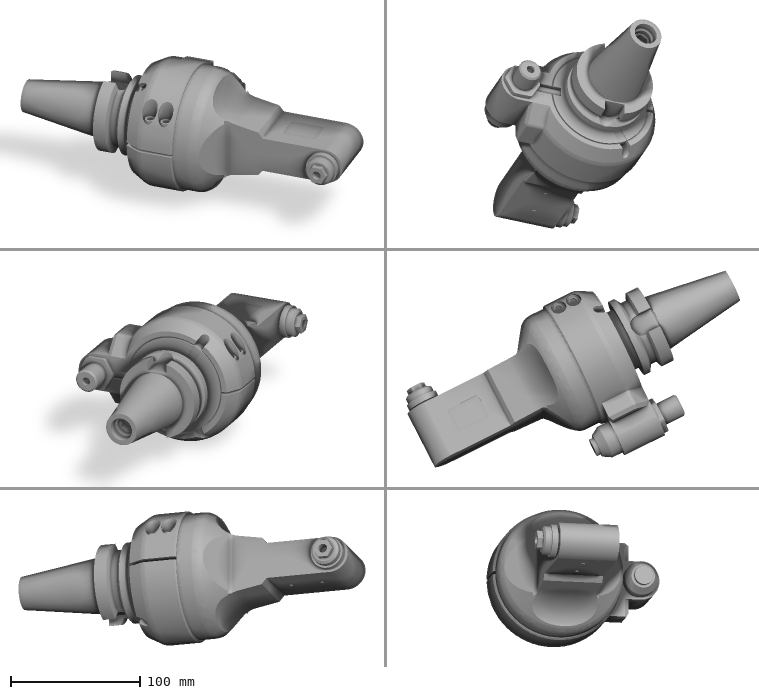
import cadquery as cq
import math


taper_length = 65.3
taper_small_radius = 13.0
taper_slope = 7 / 48
shank_neck_radius = 21.3
flange_start = 67.0
flange_end = 92.0
flange_radius = 31.5
groove_radius = 26.5
groove_start = 77.0
groove_floor_start = 79.0
groove_floor_end = 84.0
groove_end = 87.2
rear_neck_radius = 24.5
key_slot_width = 16.2
key_slot_floor = 22.5
key_slot_end = 87.7
drawbar_bore_diameter = 18.0
drawbar_bore_depth = 6.7
drawbar_step_diameter = 14.0
drawbar_step_depth = 10.8
drawbar_hex_flats = 10.0
drawbar_hex_depth = 16.2

collar_start = 99.5
collar_end = 139.2
collar_radius = 51.0
collar_front_radius = 44.3
collar_cone_end = 112.0
collar_blend_radius = 8.0
collar_rear_chamfer = 1.0
bore_radius = 38.9
bore_chamfer = 1.3
slit_width = 2.5
groove_diameter = 7.5
groove_axis_setback = 4.9
groove_outer_radius = 49.5
groove_angles = (60, 300)
key_slot_inner_radius = 27.0
key_slot_depth = 0.5
locking_rod_start = 32.0

clamp_hole_xs = (117.5, 130.3)
clamp_hole_y = -40.2
clamp_hole_diameter = 12.0
clamp_hole_floor = 20.8
clamp_head_diameter = 8.0
clamp_head_height = 3.0
clamp_socket_flats = 5.0
clamp_socket_depth = 2.2

housing_radius = 49.0
housing_blend_radius = 11.5
housing_cone_corner = 155.7
housing_cone_slope = 0.84

arm_half_width = 23.2
arm_flare_corner = 175.0
arm_flare_slope = 1.46
arm_flare_fillet = 3.8
arm_root_half_width = 27.0
arm_core_start = 173.2
arm_end = 269.8
arm_half_height = 14.25
arm_root_x = 181.3
arm_root_half_height = 22.25
arm_shoulder_x = 200.2
arm_shoulder_half_height = 19.0
arm_flat_start = 204.0
arm_flat_end = 256.2
arm_round_start = 258.0
arm_round_half_height = 13.98
throat_start = (160.5, 44.0)
throat_middle = (167.8, 29.5)
panel_length = 27.0
panel_width = 19.7
panel_corner_radius = 2.0
panel_depth = 0.3
panel_x = 229.0
button_diameter = 3.0
button_height = 0.5
button_xs = (217.0, 242.0)

bracket_end = 134.5
bracket_half_height = 15.0
bracket_tip = 81.2
bracket_flat_end = 67.7
block_half_height = 29.1
block_top = 57.2
block_base = 27.0
block_ramp_end = 111.7
block_edge_rise = 2.0
block_edge_run = 3.2

pin_y = 65.3
pin_diameter = 18.0
pin_start = 78.3
pin_end_chamfer = 1.3
pin_socket_diameter = 6.5
pin_socket_depth = 4.0
nut_flats = 25.5
nut_start = 95.5
nut_chamfer_radius = 14.3
cap_radius = 13.2
cap_cone_start = 143.5
cap_cone_end = 150.3
cap_cone_end_radius = 9.2
cap_nose_radius = 7.15
cap_nose_end = 153.8

output_x = 254.7
output_neck_radius = 10.0
output_flange_start = 24.5
output_flange_radius = 12.7
output_flange_end = 29.1
output_body_radius = 11.0
output_body_end = 34.0
output_cone_end = 35.3
output_cone_end_radius = 9.2
output_hex_flats = 13.2
output_end = 39.7
output_bore_diameter = 7.0
output_bore_depth = 8.0
output_seat_depth = 8.0

FAR = 162.0


def revolve_about_x(points):
    """Turn a list of (x, radius) points around the X axis."""
    return cq.Workplane("XY").polyline(points).close().revolve(360, (0, 0, 0), (1, 0, 0))


def cylinder_along_x(start, end, radius, y=0.0):
    return cq.Workplane("YZ", origin=(start, y, 0)).circle(radius).extrude(end - start)


def hexagon_diameter(across_flats):
    return across_flats / math.cos(math.pi / 6)


def radial_groove(inner_radius, outer_radius):
    """U-shaped cutter along +Y, open towards -X, with its round bottom inside the collar."""
    half_width = groove_diameter / 2
    axis_x = collar_start + groove_axis_setback
    return (
        cq.Workplane("XZ", origin=(0, inner_radius, 0))
        .moveTo(collar_start, -half_width)
        .lineTo(axis_x, -half_width)
        .threePointArc((axis_x + half_width, 0), (axis_x, half_width))
        .lineTo(collar_start, half_width)
        .close()
        .extrude(inner_radius - outer_radius)
    )


def turn_about_x(body, angle):
    """Turn a body that lies along +Y to an angle measured from -Y towards +Z."""
    return body.rotate((0, 0, 0), (1, 0, 0), 180 - angle)


def make_shank():
    taper_large_radius = taper_small_radius + taper_length * taper_slope
    shank = revolve_about_x([
        (0, 0),
        (0, taper_small_radius),
        (taper_length, taper_large_radius),
        (taper_length, shank_neck_radius),
        (flange_start, shank_neck_radius),
        (flange_start, flange_radius),
        (groove_start, flange_radius),
        (groove_floor_start, groove_radius),
        (groove_floor_end, groove_radius),
        (groove_end, flange_radius),
        (flange_end, flange_radius),
        (flange_end, rear_neck_radius),
        (collar_start, rear_neck_radius),
        (collar_start, 0),
    ])
    slot_radius = key_slot_width / 2
    slot_centre = key_slot_end - slot_radius
    slot = (
        cq.Workplane("XY", origin=(0, 0, key_slot_floor))
        .moveTo(taper_length, -slot_radius)
        .lineTo(slot_centre, -slot_radius)
        .threePointArc((key_slot_end, 0), (slot_centre, slot_radius))
        .lineTo(taper_length, slot_radius)
        .close()
        .extrude(flange_radius)
    )
    shank = shank.cut(slot).cut(slot.mirror("XY"))

    bore = cylinder_along_x(0, drawbar_bore_depth, drawbar_bore_diameter / 2)
    step = cylinder_along_x(0, drawbar_step_depth, drawbar_step_diameter / 2)
    hexagon = cq.Workplane("YZ").polygon(6, hexagon_diameter(drawbar_hex_flats)).extrude(drawbar_hex_depth)
    hexagon = hexagon.rotate((0, 0, 0), (1, 0, 0), 90)
    return shank.cut(bore).cut(step).cut(hexagon)


def arm_side_profile():
    """Arm outline in the XZ plane, including the throat that hollows the nose."""
    upper_far = (throat_start[0], FAR)
    return (
        cq.Workplane("XZ")
        .moveTo(0, -FAR)
        .lineTo(upper_far[0], -FAR)
        .lineTo(throat_start[0], -throat_start[1])
        .threePointArc((throat_middle[0], -throat_middle[1]), (arm_root_x, -arm_root_half_height))
        .lineTo(arm_shoulder_x, -arm_shoulder_half_height)
        .lineTo(arm_flat_start, -arm_half_height)
        .lineTo(arm_flat_end, -arm_half_height)
        .lineTo(arm_round_start, -arm_round_half_height)
        .threePointArc((arm_end, 0), (arm_round_start, arm_round_half_height))
        .lineTo(arm_flat_end, arm_half_height)
        .lineTo(arm_flat_start, arm_half_height)
        .lineTo(arm_shoulder_x, arm_shoulder_half_height)
        .lineTo(arm_root_x, arm_root_half_height)
        .threePointArc(throat_middle, throat_start)
        .lineTo(*upper_far)
        .lineTo(0, FAR)
        .close()
        .extrude(FAR, both=True)
    )


def arm_top_profile():
    """Arm outline in the XY plane, flaring out to the full width of the housing."""
    flare_start = arm_flare_corner - (FAR - arm_half_width) / arm_flare_slope
    profile = (
        cq.Workplane("XY")
        .polyline([
            (flare_start, -FAR),
            (arm_flare_corner, -arm_half_width),
            (arm_end, -arm_half_width),
            (arm_end, arm_half_width),
            (arm_flare_corner, arm_half_width),
            (flare_start, FAR),
        ])
        .close()
        .extrude(FAR, both=True)
    )
    corner = cq.selectors.BoxSelector(
        (arm_flare_corner - 2.7, -arm_half_width - 2.7, -FAR),
        (arm_flare_corner + 2.7, arm_half_width + 2.7, FAR),
    )
    return profile.edges("|Z").edges(corner).fillet(arm_flare_fillet)


def make_housing():
    cone_tip = housing_cone_corner + housing_radius / housing_cone_slope
    nose = revolve_about_x([
        (collar_end, 0),
        (collar_end, housing_radius),
        (housing_cone_corner, housing_radius),
        (cone_tip, 0),
    ])
    blend_edge = cq.selectors.BoxSelector(
        (housing_cone_corner - 0.3, -FAR, -FAR), (housing_cone_corner + 0.3, FAR, FAR)
    )
    nose = nose.edges(blend_edge).fillet(housing_blend_radius)
    arm_core = (
        cq.Workplane("XY")
        .box(arm_end - arm_core_start, 2 * arm_root_half_width, 2 * throat_start[1])
        .translate(((arm_end + arm_core_start) / 2, 0, 0))
    )
    body = nose.union(arm_core).intersect(arm_side_profile()).intersect(arm_top_profile())

    body = body.union(cylinder_along_x(collar_start, collar_end, bore_radius))
    key_slot_length = bore_radius - key_slot_inner_radius
    key_slot = cq.Workplane("XY").box(2 * key_slot_depth, key_slot_length, groove_diameter)
    key_slot = key_slot.translate((collar_start, bore_radius - key_slot_length / 2, 0))
    for angle in groove_angles:
        body = body.cut(turn_about_x(key_slot, angle))
    body = body.cut(radial_groove(locking_rod_start, bore_radius))

    panel = (
        cq.Workplane("XY", origin=(panel_x, 0, arm_half_height - panel_depth))
        .rect(panel_length, panel_width)
        .extrude(2.7)
        .edges("|Z")
        .fillet(panel_corner_radius)
    )
    body = body.cut(panel)
    buttons = (
        cq.Workplane("XY", origin=(0, 0, -arm_half_height - button_height))
        .pushPoints([(x, 0) for x in button_xs])
        .circle(button_diameter / 2)
        .extrude(2 * button_height)
    )
    body = body.union(buttons)
    seat = cq.Workplane("XZ", origin=(output_x, -arm_half_width + output_seat_depth, 0))
    return body.cut(seat.circle(output_neck_radius).extrude(output_seat_depth))


def make_bracket():
    rounded_bar = (
        cq.Workplane("YZ", origin=(collar_start, 0, 0))
        .moveTo(block_base, -bracket_half_height)
        .lineTo(bracket_flat_end, -bracket_half_height)
        .threePointArc((bracket_tip, 0), (bracket_flat_end, bracket_half_height))
        .lineTo(block_base, bracket_half_height)
        .close()
        .extrude(bracket_end - collar_start)
    )
    ramp = (
        cq.Workplane("XZ", origin=(0, block_base, 0))
        .polyline([
            (collar_start, -bracket_half_height),
            (block_ramp_end, -block_half_height),
            (bracket_end, -block_half_height),
            (bracket_end, block_half_height),
            (block_ramp_end, block_half_height),
            (collar_start, bracket_half_height),
        ])
        .close()
        .extrude(block_base - block_top)
    )
    ramp_edge = cq.selectors.BoxSelector(
        (block_ramp_end - 0.3, -FAR, -FAR), (block_ramp_end + 0.3, FAR, FAR)
    )
    ramp = ramp.edges("|Y").edges(ramp_edge).fillet(collar_blend_radius / 2)
    block = ramp.faces(">Y").edges().chamfer(block_edge_rise, block_edge_run)
    return rounded_bar.union(block)


def make_clamp_holes():
    """Counterbores that leave the heads of the clamp screws standing on their floors."""
    places = [(x, clamp_hole_y) for x in clamp_hole_xs]
    floor = cq.Workplane("XY", origin=(0, 0, clamp_hole_floor)).pushPoints(places)
    head_top = clamp_hole_floor + clamp_head_height
    socket = cq.Workplane("XY", origin=(0, 0, head_top - clamp_socket_depth)).pushPoints(places)
    bores = floor.circle(clamp_hole_diameter / 2).extrude(collar_radius)
    heads = floor.circle(clamp_head_diameter / 2).extrude(clamp_head_height)
    sockets = socket.polygon(6, hexagon_diameter(clamp_socket_flats)).extrude(clamp_socket_depth)
    return bores.cut(heads).union(sockets)


def make_collar():
    collar = revolve_about_x([
        (collar_start, 0),
        (collar_start, collar_front_radius),
        (collar_cone_end, collar_radius),
        (collar_end - collar_rear_chamfer, collar_radius),
        (collar_end, collar_radius - collar_rear_chamfer),
        (collar_end, 0),
    ])
    blend_edge = cq.selectors.BoxSelector(
        (collar_cone_end - 0.3, -FAR, -FAR), (collar_cone_end + 0.3, FAR, FAR)
    )
    collar = collar.edges(blend_edge).fillet(collar_blend_radius)
    collar = collar.union(make_bracket())

    bore = revolve_about_x([
        (collar_start, 0),
        (collar_start, bore_radius + bore_chamfer),
        (collar_start + bore_chamfer, bore_radius),
        (collar_end, bore_radius),
        (collar_end, 0),
    ])
    slit = cq.Workplane("XY").box(FAR, collar_radius, slit_width)
    slit = slit.translate((collar_start, -bore_radius / 2 - collar_radius / 2, 0))
    collar = collar.cut(bore).cut(slit).cut(make_clamp_holes())
    key_groove = radial_groove(bore_radius - 2.7, groove_outer_radius)
    for angle in groove_angles:
        collar = collar.cut(turn_about_x(key_groove, angle))
    collar = collar.cut(radial_groove(bore_radius - 2.7, pin_y))
    return collar.cut(cylinder_along_x(collar_start, bracket_end, pin_diameter / 2, pin_y))


def make_stop_pin():
    pin_radius = pin_diameter / 2
    pin = revolve_about_x([
        (pin_start, 0),
        (pin_start, pin_radius - pin_end_chamfer),
        (pin_start + pin_end_chamfer, pin_radius),
        (bracket_end, pin_radius),
        (bracket_end, cap_radius),
        (cap_cone_start, cap_radius),
        (cap_cone_end, cap_cone_end_radius),
        (cap_cone_end, cap_nose_radius),
        (cap_nose_end, cap_nose_radius),
        (cap_nose_end, 0),
    ])
    nut_length = collar_start - nut_start
    nut = (
        cq.Workplane("YZ", origin=(nut_start, 0, 0))
        .polygon(6, hexagon_diameter(nut_flats))
        .extrude(nut_length)
        .intersect(cylinder_along_x(nut_start, collar_start, nut_chamfer_radius))
    )
    socket = cylinder_along_x(pin_start, pin_start + pin_socket_depth, pin_socket_diameter / 2)
    pin = pin.union(nut).cut(socket).translate((0, pin_y, 0))
    locking_rod = (
        cq.Workplane("XZ", origin=(collar_start + groove_axis_setback, pin_y, 0))
        .circle(groove_diameter / 2)
        .extrude(pin_y - locking_rod_start)
    )
    return pin.union(locking_rod)


def make_output_spindle():
    spindle = (
        cq.Workplane("XY")
        .polyline([
            (0, -arm_half_width + output_seat_depth),
            (output_neck_radius, -arm_half_width + output_seat_depth),
            (output_neck_radius, -output_flange_start),
            (output_flange_radius, -output_flange_start),
            (output_flange_radius, -output_flange_end),
            (output_body_radius, -output_flange_end),
            (output_body_radius, -output_body_end),
            (output_cone_end_radius, -output_cone_end),
            (0, -output_cone_end),
        ])
        .close()
        .revolve(360, (0, 0, 0), (0, 1, 0))
    )
    hexagon = (
        cq.Workplane("XZ", origin=(0, -output_cone_end, 0))
        .polygon(6, hexagon_diameter(output_hex_flats))
        .extrude(output_end - output_cone_end)
    )
    bore = (
        cq.Workplane("XZ", origin=(0, output_bore_depth - output_end, 0))
        .circle(output_bore_diameter / 2)
        .extrude(output_bore_depth)
    )
    return spindle.union(hexagon).cut(bore).translate((output_x, 0, 0))


shank = make_shank()
housing = make_housing()
collar = make_collar()
stop_pin = make_stop_pin()
output_spindle = make_output_spindle()

result = cq.Compound.makeCompound([
    shank.val(),
    housing.val(),
    collar.val(),
    stop_pin.val(),
    output_spindle.val(),
])